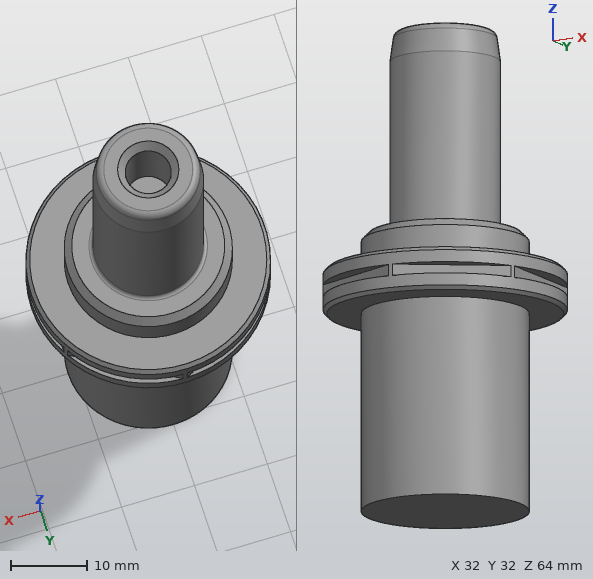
import cadquery as cq
import math

total_height = 64.0
flange_middle = 29.25
shoulder_top = 37.0
taper_start = 60.0

body_radius = 11.0
body_chamfer = 1.0
flange_radius = 16.0
flange_chamfer = 0.5
flange_thickness = 5.7
flange_bottom = flange_middle - flange_thickness / 2
flange_top = flange_middle + flange_thickness / 2
stem_radius = 7.25
stem_root_fillet = 0.5
taper_angle = 8.0
tip_fillet = 1.0

groove_sides = 6
groove_across_flats = 28.0
groove_width = 1.5
groove_bottom = flange_middle - groove_width / 2
groove_top = flange_middle + groove_width / 2

hole_radius = 3.0
countersink_radius = 4.0
countersink_depth = 1.0
hole_depth = 10.0


def cylinder(radius, bottom, top):
    return cq.Workplane("XY").workplane(offset=bottom).circle(radius).extrude(top - bottom)


def make_body():
    """Plain lower barrel that continues above the flange as a chamfered shoulder."""
    return cylinder(body_radius, 0, shoulder_top).faces(">Z").edges().chamfer(body_chamfer)


def make_flange():
    """Chamfered disc with six flat-bottomed slots that leave a hexagonal core."""
    disc = cylinder(flange_radius, flange_bottom, flange_top).edges().chamfer(flange_chamfer)
    quarter_turn = 90
    across_corners = groove_across_flats / math.cos(math.pi / groove_sides)
    ring = cylinder(2 * flange_radius, groove_bottom, groove_top)
    core = (
        cq.Workplane("XY")
        .workplane(offset=groove_bottom)
        .transformed(rotate=(0, 0, quarter_turn))
        .polygon(groove_sides, across_corners)
        .extrude(groove_width)
    )
    return disc.cut(ring.cut(core))


def make_stem():
    """Stem revolved about Z: root fillet, straight shank, taper and rounded tip."""
    root_radius = stem_radius + stem_root_fillet
    root_top = shoulder_top + stem_root_fillet
    root_mid_offset = stem_root_fillet * (1 - math.sqrt(0.5))

    angle = math.radians(taper_angle)
    tip_arc_z = total_height - tip_fillet
    tangent_z = tip_arc_z + tip_fillet * math.sin(angle)
    tangent_radius = stem_radius - (tangent_z - taper_start) * math.tan(angle)
    tip_arc_radius = tangent_radius - tip_fillet * math.cos(angle)
    mid_angle = (angle + math.pi / 2) / 2
    tip_mid = (
        tip_arc_radius + tip_fillet * math.cos(mid_angle),
        tip_arc_z + tip_fillet * math.sin(mid_angle),
    )
    return (
        cq.Workplane("XZ")
        .moveTo(0, shoulder_top)
        .lineTo(root_radius, shoulder_top)
        .threePointArc(
            (stem_radius + root_mid_offset, shoulder_top + root_mid_offset),
            (stem_radius, root_top),
        )
        .lineTo(stem_radius, taper_start)
        .lineTo(tangent_radius, tangent_z)
        .threePointArc(tip_mid, (tip_arc_radius, total_height))
        .lineTo(0, total_height)
        .close()
        .revolve(360, (0, 0), (0, 1))
    )


def make_hole():
    """Blind hole with a conical countersink at the top face."""
    return (
        cq.Workplane("XZ")
        .moveTo(0, total_height)
        .lineTo(countersink_radius, total_height)
        .lineTo(hole_radius, total_height - countersink_depth)
        .lineTo(hole_radius, total_height - hole_depth)
        .lineTo(0, total_height - hole_depth)
        .close()
        .revolve(360, (0, 0), (0, 1))
    )


result = make_body().union(make_flange()).union(make_stem()).cut(make_hole())